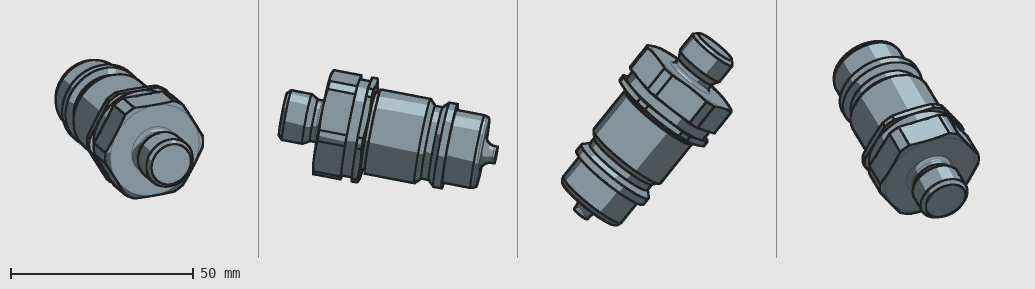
import cadquery as cq
import math


TOTAL_LENGTH = 59.7
PLUG_FACE_X = 3.7
FLANGE_X = 13.0
FLANGE_END_X = 15.3
BODY_X = 20.6
BODY_END_X = 34.55
HEX_X = 35.7
HEX_GROOVE_X = 37.6
HEX_GROOVE_END_X = 40.65
HEX_END_X = 48.65
THREAD_X = 52.95

TIP_RADIUS = 2.4
PLUG_RADIUS = 10.2
BODY_RADIUS = 11.8
UNDERCUT_RADIUS = 10.8
NECK_RADIUS = 5.85
THREAD_RADIUS = 7.0

TIP_FILLET = 2.9
LEAD_IN_LENGTH = 0.9
LEAD_IN_ANGLE = math.radians(18)
PLUG_EDGE_FILLET = 0.85
LATCH_GROOVE_BEVEL = BODY_RADIUS - PLUG_RADIUS
NECK_FILLET = 1.1
NECK_CONE_ANGLE = math.radians(30)
NECK_CONE_LENGTH = (THREAD_RADIUS - NECK_RADIUS) / math.tan(NECK_CONE_ANGLE)
THREAD_CHAMFER = 1.1

HEX_SIDES = 6
ACROSS_FLATS = 27.0
ACROSS_CORNERS = ACROSS_FLATS / math.cos(math.pi / HEX_SIDES)
HEX_CORNER_RADIUS = 14.75
HEX_FACE_RADIUS = 13.4
HEX_BEVEL = 0.35


def turned_body():
    """Everything that is round, from the tip to the thread end."""
    edge_center_x = PLUG_FACE_X + PLUG_EDGE_FILLET
    lead_in_x = edge_center_x - PLUG_EDGE_FILLET * math.sin(LEAD_IN_ANGLE)
    lead_in_radius = PLUG_RADIUS - LEAD_IN_LENGTH * math.tan(LEAD_IN_ANGLE)
    edge_center_radius = lead_in_radius - PLUG_EDGE_FILLET * math.cos(LEAD_IN_ANGLE)
    edge_middle_angle = (math.pi + math.pi / 2 + LEAD_IN_ANGLE) / 2
    edge_middle = (
        edge_center_x + PLUG_EDGE_FILLET * math.cos(edge_middle_angle),
        edge_center_radius + PLUG_EDGE_FILLET * math.sin(edge_middle_angle),
    )
    profile = (
        cq.Workplane("XY")
        .lineTo(0, TIP_RADIUS)
        .lineTo(PLUG_FACE_X - TIP_FILLET, TIP_RADIUS)
        .radiusArc((PLUG_FACE_X, TIP_RADIUS + TIP_FILLET), -TIP_FILLET)
        .lineTo(PLUG_FACE_X, edge_center_radius)
        .threePointArc(edge_middle, (lead_in_x, lead_in_radius))
        .lineTo(lead_in_x + LEAD_IN_LENGTH, PLUG_RADIUS)
        .lineTo(FLANGE_X, PLUG_RADIUS)
        .lineTo(FLANGE_X, BODY_RADIUS)
        .lineTo(FLANGE_END_X, BODY_RADIUS)
        .lineTo(FLANGE_END_X + LATCH_GROOVE_BEVEL, PLUG_RADIUS)
        .lineTo(BODY_X - LATCH_GROOVE_BEVEL, PLUG_RADIUS)
        .lineTo(BODY_X, BODY_RADIUS)
        .lineTo(BODY_END_X, BODY_RADIUS)
        .lineTo(BODY_END_X, UNDERCUT_RADIUS)
        .lineTo(HEX_END_X, UNDERCUT_RADIUS)
        .lineTo(HEX_END_X, NECK_RADIUS + NECK_FILLET)
        .radiusArc((HEX_END_X + NECK_FILLET, NECK_RADIUS), -NECK_FILLET)
        .lineTo(THREAD_X - NECK_CONE_LENGTH, NECK_RADIUS)
        .lineTo(THREAD_X, THREAD_RADIUS)
        .lineTo(TOTAL_LENGTH - THREAD_CHAMFER, THREAD_RADIUS)
        .lineTo(TOTAL_LENGTH, THREAD_RADIUS - THREAD_CHAMFER)
        .lineTo(TOTAL_LENGTH, 0)
        .close()
    )
    return profile.revolve(360, (0, 0, 0), (1, 0, 0))


def hexagon():
    """Grooved hexagon with flats facing +Z and -Z and bevelled end faces."""
    prism = (
        cq.Workplane("YZ", origin=(HEX_X, 0, 0))
        .polygon(HEX_SIDES, ACROSS_CORNERS)
        .extrude(HEX_END_X - HEX_X)
    )
    envelope = (
        cq.Workplane("XY")
        .moveTo(HEX_X, 0)
        .lineTo(HEX_X, HEX_FACE_RADIUS)
        .lineTo(HEX_X + HEX_BEVEL, HEX_CORNER_RADIUS)
        .lineTo(HEX_GROOVE_X, HEX_CORNER_RADIUS)
        .lineTo(HEX_GROOVE_X, ACROSS_FLATS / 2)
        .lineTo(HEX_GROOVE_END_X, ACROSS_FLATS / 2)
        .lineTo(HEX_GROOVE_END_X, HEX_CORNER_RADIUS)
        .lineTo(HEX_END_X - HEX_BEVEL, HEX_CORNER_RADIUS)
        .lineTo(HEX_END_X, HEX_FACE_RADIUS)
        .lineTo(HEX_END_X, 0)
        .close()
        .revolve(360, (0, 0, 0), (1, 0, 0))
    )
    return prism.intersect(envelope)


result = turned_body().union(hexagon())